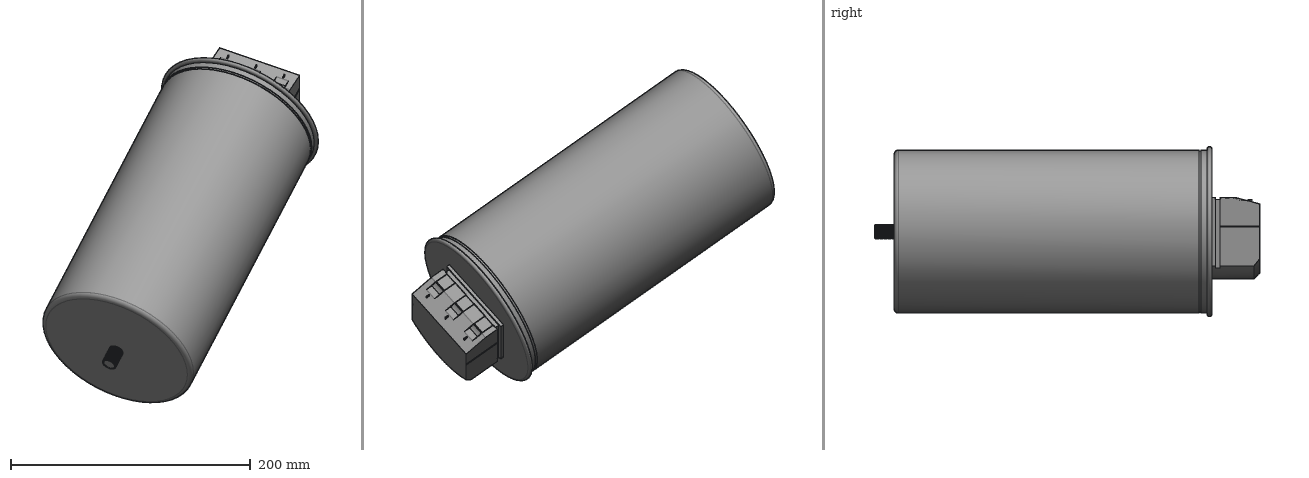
import cadquery as cq
import math


can_diameter = 136.0
can_height = 265.0
bottom_fillet = 4.0
rim_diameter = 142.0
rim_height = 4.2
groove_width = 2.0
groove_depth = 0.5
groove_below_rim = 4.8

stud_length = 16.0
thread_major_radius = 6.0
thread_minor_radius = 5.0
thread_count = 17

block_width = 72.5
block_half_height = 28.5
belly_drop = 39.5
flange_thickness = 3.0
neck_thickness = 4.0
neck_side_inset = 3.0
neck_top_inset = 1.5
head_length = 33.0
slope_length = 20.5
slope_drop = 5.5
back_chamfer = 4.8
side_groove_height = 1.0
side_groove_depth = 0.3
side_groove_z = 4.2

terminal_count = 3
terminal_pitch = 25.5
slot_width = 11.0
slot_start = 11.0
slot_floor_end = 16.7
slot_ramp_end = 20.5
slot_ridge_width = 1.0
slot_ridge_depth = 0.3
slot_ramp_sag = 0.3
channel_depth = 1.0
fin_width = 1.0
fin_start = 6.5
fin_length = 3.2
fin_top_below_block_top = 2.0

can_radius = can_diameter / 2
rim_radius = rim_diameter / 2
rim_round = rim_height / 2
rim_bottom = can_height - rim_height
flange_end = can_height + flange_thickness
neck_end = flange_end + neck_thickness
block_end = neck_end + head_length
block_half_width = block_width / 2
slope_ratio = slope_drop / slope_length
terminal_positions = [(i - (terminal_count - 1) / 2) * terminal_pitch for i in range(terminal_count)]

belly_sagitta = belly_drop - block_half_height
belly_radius = (block_half_width**2 + belly_sagitta**2) / (2 * belly_sagitta)
belly_center_z = belly_radius - belly_drop


def make_can():
    """Can, rolled rim and stud, revolved about Y from one half outline."""
    groove_top = rim_bottom - groove_below_rim
    groove_bottom = groove_top - groove_width
    groove_radius = can_radius - groove_depth
    fillet_mid = bottom_fillet * (1 - math.sqrt(0.5))
    pitch = stud_length / thread_count

    outline = cq.Workplane("XY").moveTo(0, -stud_length).lineTo(thread_minor_radius, -stud_length)
    for i in range(thread_count):
        root = -stud_length + i * pitch
        outline = outline.lineTo(thread_major_radius, root + pitch / 2)
        outline = outline.lineTo(thread_minor_radius, root + pitch)
    outline = (
        outline.lineTo(can_radius - bottom_fillet, 0)
        .threePointArc((can_radius - fillet_mid, fillet_mid), (can_radius, bottom_fillet))
        .lineTo(can_radius, groove_bottom)
        .lineTo(groove_radius, groove_bottom)
        .lineTo(groove_radius, groove_top)
        .lineTo(can_radius, groove_top)
        .lineTo(can_radius, rim_bottom)
        .lineTo(rim_radius - rim_round, rim_bottom)
        .threePointArc((rim_radius, rim_bottom + rim_round), (rim_radius - rim_round, can_height))
        .lineTo(0, can_height)
        .close()
    )
    return outline.revolve(360, (0, 0, 0), (0, 1, 0))


def belly_slab(half_width, top_z, start_y, end_y):
    """Slab along Y with a flat top, upright sides and the block's arched belly."""
    side_bottom = belly_center_z - math.sqrt(belly_radius**2 - half_width**2)
    return (
        cq.Workplane("XZ", origin=(0, start_y, 0))
        .moveTo(-half_width, top_z)
        .lineTo(half_width, top_z)
        .lineTo(half_width, side_bottom)
        .threePointArc((0, -belly_drop), (-half_width, side_bottom))
        .close()
        .extrude(start_y - end_y)
    )


def make_head():
    """Outer part of the block: chamfered belly edge and a top that slopes down to the back."""
    head = belly_slab(block_half_width, block_half_height, neck_end, block_end)
    head = head.faces(">Y").edges("%CIRCLE").chamfer(back_chamfer)
    slope_cut = (
        cq.Workplane("YZ")
        .moveTo(block_end - slope_length, block_half_height)
        .lineTo(block_end, block_half_height)
        .lineTo(block_end, block_half_height - slope_drop)
        .close()
        .extrude(block_half_width, both=True)
    )
    return head.cut(slope_cut)


def side_groove(side):
    """Shallow groove along one side of the head; side is -1 or 1."""
    center = (side * block_half_width, neck_end + head_length / 2, side_groove_z)
    return cq.Workplane("XY", origin=center).box(2 * side_groove_depth, head_length, side_groove_height)


def terminal_slot(x):
    """Slot in the top: level floor from the slope, hollow ramp up to a ridge, then a channel to the neck."""
    start_y = block_end - slot_start
    ramp_start = block_end - slot_floor_end
    ramp_end = block_end - slot_ramp_end
    floor_z = block_half_height - slope_drop + slot_start * slope_ratio
    ridge_end = ramp_end - slot_ridge_width
    ridge_z = block_half_height - slot_ridge_depth
    channel_z = block_half_height - channel_depth
    ramp_middle = ((ramp_start + ramp_end) / 2, (floor_z + ridge_z) / 2 - slot_ramp_sag)
    return (
        cq.Workplane("YZ", origin=(x - slot_width / 2, 0, 0))
        .moveTo(start_y, floor_z)
        .lineTo(ramp_start, floor_z)
        .threePointArc(ramp_middle, (ramp_end, ridge_z))
        .lineTo(ridge_end, ridge_z)
        .lineTo(ridge_end, channel_z)
        .lineTo(neck_end, channel_z)
        .lineTo(neck_end, block_half_height)
        .lineTo(start_y, block_half_height)
        .close()
        .extrude(slot_width)
    )


def terminal_fin(x):
    """Small upright fin standing on the slope, with its foot inside the head."""
    top_z = block_half_height - fin_top_below_block_top
    center_y = block_end - fin_start - fin_length / 2
    return (
        cq.Workplane("XY", origin=(x, center_y, top_z - slope_drop))
        .rect(fin_width, fin_length)
        .extrude(slope_drop)
    )


def make_terminal_block():
    """Flange on the lid, narrower neck and slotted head as one solid."""
    head = make_head()
    for side in (-1, 1):
        head = head.cut(side_groove(side))
    for x in terminal_positions:
        head = head.cut(terminal_slot(x)).union(terminal_fin(x))
    flange = belly_slab(block_half_width, block_half_height, can_height, flange_end)
    neck = belly_slab(
        block_half_width - neck_side_inset, block_half_height - neck_top_inset, flange_end, neck_end
    )
    return flange.union(neck).union(head)


can = make_can()
terminal_block = make_terminal_block()

result = cq.Compound.makeCompound([can.val(), terminal_block.val()])